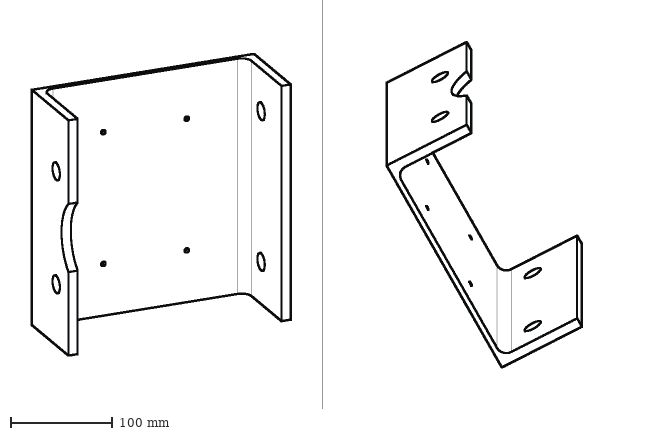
import cadquery as cq

depth = 90.0
width = 240.0
height = 250.0
web_thickness = 5.6
flange_thickness = 10.0
root_radius = 10.5

bolt_hole_diameter = 18.0
front_bolt_x = 60.0
front_bolt_spacing = 120.0
rear_bolt_x = 40.0
rear_bolt_spacing = 160.0

notch_radius = 47.0
notch_depth = 17.0

web_hole_diameter = 4.5
web_hole_pitch_y = 90.0
web_hole_pitch_z = 140.0

front_flange_y = -width / 2
rear_flange_y = width / 2 - flange_thickness


def make_channel():
    """Channel section, open to +X, with rounded inner corners."""
    outer = cq.Workplane("XY").box(depth, width, height, centered=(False, True, True))
    cavity = (
        cq.Workplane("XY")
        .box(depth, width - 2 * flange_thickness, height, centered=(False, True, True))
        .edges("|Z and <X")
        .fillet(root_radius)
        .translate((web_thickness, 0, 0))
    )
    return outer.cut(cavity)


def flange_cutter(x, z, radius, flange_y):
    """Cylinder along Y that crosses the flange beginning at flange_y."""
    return (
        cq.Workplane("XZ", origin=(x, flange_y, z))
        .circle(radius)
        .extrude(-flange_thickness)
    )


def cut_bolt_holes(body, x, spacing, flange_y):
    """Pair of bolt holes through one flange, above and below mid-height."""
    for side in (-1, 1):
        z = side * spacing / 2
        body = body.cut(flange_cutter(x, z, bolt_hole_diameter / 2, flange_y))
    return body


def cut_notch(body):
    """Circular notch at mid-height in the free edge of the -Y flange."""
    center_x = depth - notch_depth + notch_radius
    return body.cut(flange_cutter(center_x, 0, notch_radius, front_flange_y))


def cut_web_holes(body):
    """Four holes along X through the web, in a rectangular pattern."""
    cutters = (
        cq.Workplane("YZ")
        .rarray(web_hole_pitch_y, web_hole_pitch_z, 2, 2)
        .circle(web_hole_diameter / 2)
        .extrude(web_thickness)
    )
    return body.cut(cutters)


result = make_channel()
result = cut_bolt_holes(result, front_bolt_x, front_bolt_spacing, front_flange_y)
result = cut_bolt_holes(result, rear_bolt_x, rear_bolt_spacing, rear_flange_y)
result = cut_notch(result)
result = cut_web_holes(result)